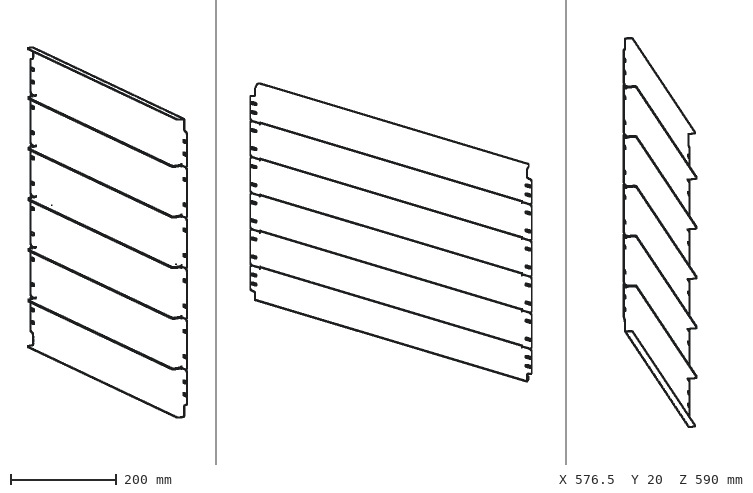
import cadquery as cq
import math

overall_width = 576.5
overall_height = 590.0
panel_pitch = 100.0
middle_panel_count = 4
sheet_thickness = 1.5

bend_inner_radius = 1.5
bend_outer_radius = bend_inner_radius + sheet_thickness

joint_flange_depth = 20.0
joint_flange_inset = 20.0
end_flange_depth = 15.0
end_flange_inset = 10.0
flange_corner_radius = 5.0

joint_corner_radius = 6.0
end_notch_height = 25.0
shoulder_radius = end_flange_inset / 2

slot_length = 12.0
slot_height = 5.5
slot_edge_distance = 7.0
joint_slot_distance = 25.0
end_slot_distance = 50.0

half_width = overall_width / 2
joint_half_span = middle_panel_count * panel_pitch / 2
end_panel_height = overall_height / 2 - joint_half_span
end_flange_width = overall_width - 2 * end_flange_inset
joint_flange_width = overall_width - 2 * joint_flange_inset


def sheet_plate(width, bottom, top):
    """Flat sheet with its back face on Y = 0 and its thickness toward -Y."""
    plate = cq.Workplane("XY").box(width, sheet_thickness, top - bottom, centered=(True, False, False))
    return plate.translate((0, -sheet_thickness, bottom))


def folded_flange(width, depth):
    """Flange lying on Z = 0 and reaching toward -Y, with the bend that joins it to a sheet above."""
    diagonal = math.sqrt(0.5)
    bend_y = -bend_outer_radius
    bend_z = bend_outer_radius
    outer_reach = bend_outer_radius * diagonal
    inner_reach = bend_inner_radius * diagonal
    profile = (
        cq.Workplane("YZ", origin=(-width / 2, 0, 0))
        .moveTo(-depth, 0)
        .lineTo(bend_y, 0)
        .threePointArc((bend_y + outer_reach, bend_z - outer_reach), (0, bend_z))
        .lineTo(-sheet_thickness, bend_z)
        .threePointArc((bend_y + inner_reach, bend_z - inner_reach), (bend_y, sheet_thickness))
        .lineTo(-depth, sheet_thickness)
        .close()
    )
    return profile.extrude(width).edges("|Z and <Y").fillet(flange_corner_radius)


def add_lower_flange(panel, width, depth):
    """Replace the bottom edge of a panel by a bend and a flange."""
    bend_space = sheet_plate(width, 0, bend_outer_radius)
    return panel.cut(bend_space).union(folded_flange(width, depth))


def add_upper_flange(panel, width, depth, top):
    """Replace the top edge of a panel by a bend and a flange."""
    bend_space = sheet_plate(width, top - bend_outer_radius, top)
    flange = folded_flange(width, depth).mirror("XY").translate((0, 0, top))
    return panel.cut(bend_space).union(flange)


def side_slots(heights):
    """Cutters for a pair of side slots at each height."""
    slot_x = half_width - slot_edge_distance
    centres = [(side * slot_x, height) for side in (-1, 1) for height in heights]
    slots = cq.Workplane("XZ").pushPoints(centres).slot2D(slot_length, slot_height)
    return slots.extrude(sheet_thickness)


def make_middle_panel():
    """Panel with a flange along both joints, standing on Z = 0."""
    panel = sheet_plate(overall_width, 0, panel_pitch).edges("|Y").fillet(joint_corner_radius)
    panel = add_lower_flange(panel, joint_flange_width, joint_flange_depth)
    panel = add_upper_flange(panel, joint_flange_width, joint_flange_depth, panel_pitch)
    return panel.cut(side_slots((joint_slot_distance, panel_pitch - joint_slot_distance)))


def end_sheet():
    """Flat end panel: rounded joint corners below, a narrower tongue with S-shaped shoulders above."""
    shoulder = end_panel_height - end_notch_height
    tongue_half_width = end_flange_width / 2
    half_outline = (
        cq.Workplane("XZ")
        .lineTo(half_width - joint_corner_radius, 0)
        .radiusArc((half_width, joint_corner_radius), -joint_corner_radius)
        .lineTo(half_width, shoulder - shoulder_radius)
        .radiusArc((half_width - shoulder_radius, shoulder), -shoulder_radius)
        .radiusArc((tongue_half_width, shoulder + shoulder_radius), shoulder_radius)
        .lineTo(tongue_half_width, end_panel_height)
        .lineTo(0, end_panel_height)
        .close()
    )
    right_half = half_outline.extrude(sheet_thickness)
    return right_half.union(right_half.mirror("YZ")).clean()


def make_end_panel():
    """Panel with a joint flange on Z = 0 and a narrower, notched outer end above."""
    panel = add_lower_flange(end_sheet(), joint_flange_width, joint_flange_depth)
    panel = add_upper_flange(panel, end_flange_width, end_flange_depth, end_panel_height)
    return panel.cut(side_slots((joint_slot_distance, end_slot_distance)))


middle_panels = []
for index in range(middle_panel_count):
    panel_bottom = index * panel_pitch - joint_half_span
    middle_panels.append(make_middle_panel().translate((0, 0, panel_bottom)))

upper_end_panel = make_end_panel().translate((0, 0, joint_half_span))
lower_end_panel = upper_end_panel.mirror("XY")

result = cq.Compound.makeCompound(
    [*(panel.val() for panel in middle_panels), upper_end_panel.val(), lower_end_panel.val()]
)